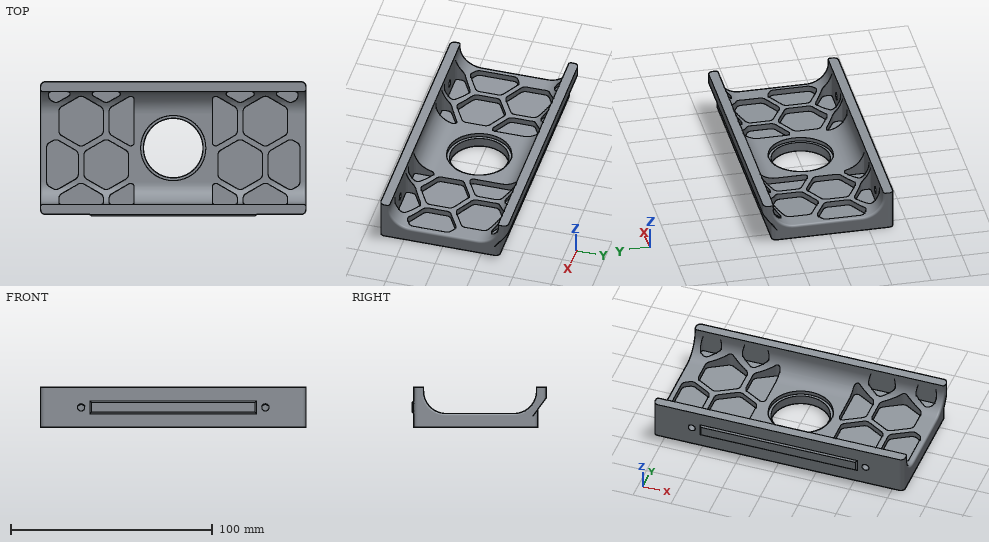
import cadquery as cq
import math

LENGTH = 132.0
WIDTH = 66.0
HEIGHT = 20.0
CORNER_RADIUS = 2.4
TOLERANCE = 0.01

WALL = 5.0
FLOOR_TOP = 7.0
CHANNEL_RADIUS = 11.0
END_RADIUS = 1.2
CHANNEL_HALF = WIDTH / 2 - WALL

LOWER_BACK_Y = 28.7
LIP_BOTTOM = 14.8
LIP_SLOPE = 1.36

BORE_DIAMETER = 29.5
SEAT_DIAMETER = 32.4
SEAT_DEPTH = 2.0

HEX_FLATS = 22.2
HEX_PITCH = 25.0
HEX_ROW_PITCH = HEX_PITCH * math.sqrt(3) / 2
HEX_RADIUS = HEX_FLATS / math.sqrt(3)
HEX_SIDE_SLOPE = 1 / math.sqrt(3)
POCKET_FLOOR = 4.0
BACK_ROW_FLOOR = 7.5
HEX_CORNER_RADIUS = 3.0
INNER_CORNER_RADIUS = 1.8
WALL_CORNER_RADIUS = 1.1
POCKET_INNER_X = 19.4
POCKET_OUTER_X = 63.0
BACK_ROW_OUTER_X = 62.0
OUTER_COLUMN_X = 45.8
MAIN_ROW_Y = 13.4

RAIL_LENGTH = 83.0
RAIL_HEIGHT = 6.4
RAIL_DEPTH = 0.8
RAIL_BEVEL_ANGLE = 45.0
SIDE_AXIS_Z = HEIGHT / 2
PIN_DIAMETER = 3.6
PIN_X = OUTER_COLUMN_X


def rounded_block(back_y):
    """Full-height block from the front face to back_y with rounded upright edges."""
    depth = back_y + WIDTH / 2
    return (
        cq.Workplane("XY")
        .center(0, back_y - depth / 2)
        .rect(LENGTH, depth)
        .extrude(HEIGHT)
        .edges("|Z")
        .fillet(CORNER_RADIUS)
    )


def prism_along_x(profile):
    """Extrude a closed YZ profile over the whole length, symmetrically about X = 0."""
    return profile.extrude(LENGTH / 2, both=True)


def body():
    """Block whose back is undercut, leaving a sloped lip along the top."""
    base_y = WIDTH / 2 - LIP_BOTTOM / LIP_SLOPE
    under_lip = prism_along_x(
        cq.Workplane("YZ")
        .moveTo(WIDTH / 2, LIP_BOTTOM)
        .lineTo(base_y, 0)
        .lineTo(WIDTH / 2, 0)
        .close()
    )
    return rounded_block(WIDTH / 2).cut(under_lip).union(rounded_block(LOWER_BACK_Y))


def channel():
    """U-shaped channel whose floor blends into both walls."""
    blend_top = FLOOR_TOP + CHANNEL_RADIUS
    blend_side = CHANNEL_HALF - CHANNEL_RADIUS
    return prism_along_x(
        cq.Workplane("YZ")
        .moveTo(-CHANNEL_HALF, HEIGHT)
        .lineTo(-CHANNEL_HALF, blend_top)
        .radiusArc((-blend_side, FLOOR_TOP), -CHANNEL_RADIUS)
        .lineTo(blend_side, FLOOR_TOP)
        .radiusArc((CHANNEL_HALF, blend_top), -CHANNEL_RADIUS)
        .lineTo(CHANNEL_HALF, HEIGHT)
        .close()
    )


def round_channel_ends(block):
    """Round the channel's rim on both end faces."""
    for side in (-1, 1):
        end_x = side * LENGTH / 2
        rim_box = cq.selectors.BoxSelector(
            (end_x - TOLERANCE, -CHANNEL_HALF - TOLERANCE, FLOOR_TOP - TOLERANCE),
            (end_x + TOLERANCE, CHANNEL_HALF + TOLERANCE, HEIGHT - TOLERANCE),
        )
        block = block.edges(rim_box).fillet(END_RADIUS)
    return block


def pocket_outline(x, y):
    """Corners of a hexagon, or of a four-sided pocket where the inner limit cuts it."""
    half_flats = HEX_FLATS / 2
    side_half = HEX_RADIUS / 2
    outer_side = [(x + half_flats, y - side_half), (x + half_flats, y + side_half)]
    if x - half_flats >= POCKET_INNER_X:
        inner_side = [(x - half_flats, y + side_half), (x - half_flats, y - side_half)]
        return outer_side + [(x, y + HEX_RADIUS)] + inner_side + [(x, y - HEX_RADIUS)]
    tip = HEX_RADIUS + (x - POCKET_INNER_X) * HEX_SIDE_SLOPE
    return outer_side + [(POCKET_INNER_X, y + tip), (POCKET_INNER_X, y - tip)]


def corner_radius(corner):
    """Rounding of an upright pocket edge, chosen by where it stands."""
    if abs(corner.y) > CHANNEL_HALF - TOLERANCE:
        return WALL_CORNER_RADIUS
    if corner.x < POCKET_INNER_X + TOLERANCE:
        return INNER_CORNER_RADIUS
    return HEX_CORNER_RADIUS


def pocket(x, y, floor, outer_x):
    """One honeycomb pocket kept between the channel walls and short of outer_x."""
    area = (
        cq.Workplane("XY", origin=(outer_x / 2, 0, 0))
        .rect(outer_x, 2 * CHANNEL_HALF)
        .extrude(HEIGHT)
    )
    solid = (
        cq.Workplane("XY", origin=(0, 0, floor))
        .polyline(pocket_outline(x, y))
        .close()
        .extrude(HEIGHT - floor)
        .intersect(area)
    )
    corners = [edge.Center() for edge in solid.edges("|Z").vals()]
    for corner in corners:
        nearest = cq.selectors.NearestToPointSelector(corner.toTuple())
        solid = solid.edges(nearest).fillet(corner_radius(corner))
    return solid


def honeycomb():
    """Four staggered rows of pockets on the +X half, mirrored to the -X half."""
    cutter = cq.Workplane("XY")
    for row in range(-1, 3):
        is_back_row = row < 0
        y = MAIN_ROW_Y - row * HEX_ROW_PITCH
        shift = HEX_PITCH / 2 if row % 2 else 0
        floor = BACK_ROW_FLOOR if is_back_row else POCKET_FLOOR
        outer_x = BACK_ROW_OUTER_X if is_back_row else POCKET_OUTER_X
        for column in (0, 1):
            x = OUTER_COLUMN_X + shift - column * HEX_PITCH
            cutter = cutter.add(pocket(x, y, floor, outer_x))
    half = cutter.combine()
    return half.union(half.mirror("YZ"))


def central_opening():
    """Through bore with a shallow wider seat in the channel floor."""
    bore = cq.Workplane("XY").circle(BORE_DIAMETER / 2).extrude(FLOOR_TOP)
    seat_bottom = FLOOR_TOP - SEAT_DEPTH
    seat = cq.Workplane("XY", origin=(0, 0, seat_bottom)).circle(SEAT_DIAMETER / 2).extrude(SEAT_DEPTH)
    return bore.union(seat)


def rail():
    """Bar on the -Y face whose sides are bevelled over its full depth."""
    return (
        cq.Workplane("XZ", origin=(0, -WIDTH / 2, SIDE_AXIS_Z))
        .rect(RAIL_LENGTH, RAIL_HEIGHT)
        .extrude(RAIL_DEPTH, taper=RAIL_BEVEL_ANGLE)
    )


def pin_holes():
    """Two holes through the -Y wall into the channel."""
    return (
        cq.Workplane("XZ", origin=(0, 0, SIDE_AXIS_Z))
        .pushPoints([(-PIN_X, 0), (PIN_X, 0)])
        .circle(PIN_DIAMETER / 2)
        .extrude(WIDTH / 2)
    )


result = (
    round_channel_ends(body().cut(channel()))
    .cut(honeycomb())
    .cut(central_opening())
    .cut(pin_holes())
    .union(rail())
)